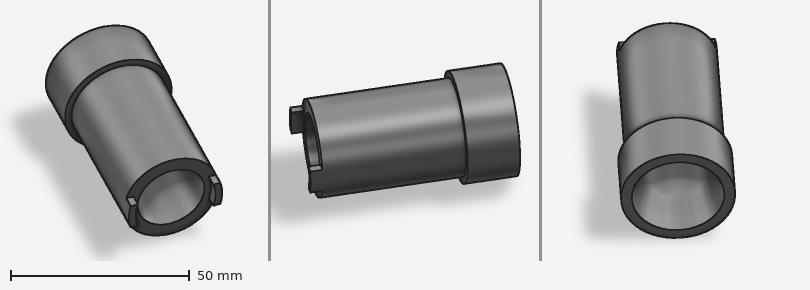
import cadquery as cq

total_length = 59.5
collar_length = 15.0
collar_diameter = 32.0
body_diameter = 28.0
bore_diameter = 20.0
mouth_diameter = 25.9
mouth_depth = 11.0
tab_length = 3.5
tab_width = 8.1
tab_inner_diameter = 24.0

body_end = total_length - tab_length


def cylinder(diameter, start, length):
    """Solid cylinder on the X axis."""
    return cq.Workplane("YZ", origin=(start, 0, 0)).circle(diameter / 2).extrude(length)


collar = cylinder(collar_diameter, 0, collar_length)
body = cylinder(body_diameter, 0, body_end)
sleeve = collar.union(body).cut(cylinder(bore_diameter, 0, body_end))

mouth = (
    cq.Workplane("XY")
    .polyline([
        (0, 0),
        (0, mouth_diameter / 2),
        (mouth_depth, bore_diameter / 2),
        (mouth_depth, 0),
    ])
    .close()
    .revolve(360, (0, 0, 0), (1, 0, 0))
)
sleeve = sleeve.cut(mouth)

tab_ring = cylinder(body_diameter, body_end, tab_length).cut(
    cylinder(tab_inner_diameter, body_end, tab_length)
)
tab_band = cq.Workplane("XY").box(tab_length, body_diameter, tab_width).translate(
    (body_end + tab_length / 2, 0, 0)
)
tabs = tab_ring.intersect(tab_band)

result = sleeve.union(tabs)